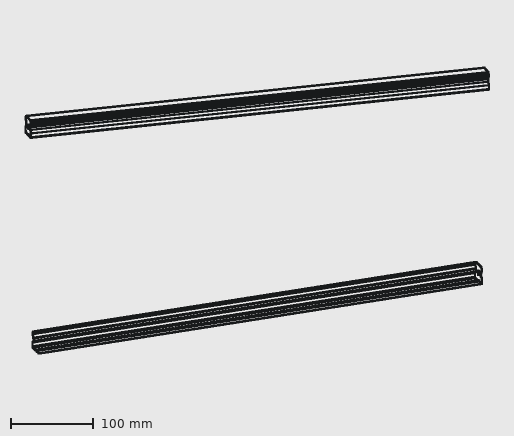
import cadquery as cq

length = 580.0
width = 23.0
height = 22.0

half_width = width / 2
top_half_width = 8.3
neck_half_width = 8.2

base_side_top = 6.25
neck_bottom = 9.55
neck_top = 12.85
head_bottom = 17.3
head_top = 19.25

top_bevel_width = 0.85
top_bevel_height = 0.95
head_bevel_width = 0.3
head_bevel_height = 0.55
neck_bevel_width = 0.36
neck_bevel_height = 0.75
base_chamfer = 1.3

upper_track_sag = 0.45
lower_track_sag = 0.7

groove_width = 2.7
groove_depth = 1.0

end_hole_diameter = 5.5
end_hole_depth = 12.0
end_hole_level = height / 2


def half_section():
    """Cross-section of the +X half, with a concave ball track above and below the head side."""
    return (
        cq.Workplane("XZ", origin=(0, length / 2, 0))
        .moveTo(0, groove_depth)
        .lineTo(groove_width / 2, groove_depth)
        .lineTo(groove_width / 2, 0)
        .lineTo(half_width - base_chamfer, 0)
        .lineTo(half_width, base_chamfer)
        .lineTo(half_width, base_side_top)
        .lineTo(neck_half_width, neck_bottom)
        .lineTo(neck_half_width, neck_top)
        .lineTo(neck_half_width + neck_bevel_width, neck_top + neck_bevel_height)
        .sagittaArc((half_width - head_bevel_width, head_bottom), lower_track_sag)
        .lineTo(half_width, head_bottom + head_bevel_height)
        .lineTo(half_width, head_top - head_bevel_height)
        .lineTo(half_width - head_bevel_width, head_top)
        .sagittaArc((top_half_width + top_bevel_width, height - top_bevel_height), upper_track_sag)
        .lineTo(top_half_width, height)
        .lineTo(0, height)
        .close()
    )


def rail_body():
    """Extrude the half section along Y and mirror it about the YZ plane."""
    half = half_section().extrude(length)
    return half.union(half.mirror("YZ")).clean()


def end_hole():
    """Cutter for the blind hole, running inward from the -Y end."""
    return (
        cq.Workplane("XZ", origin=(0, -length / 2, end_hole_level))
        .circle(end_hole_diameter / 2)
        .extrude(-end_hole_depth)
    )


result = rail_body().cut(end_hole())